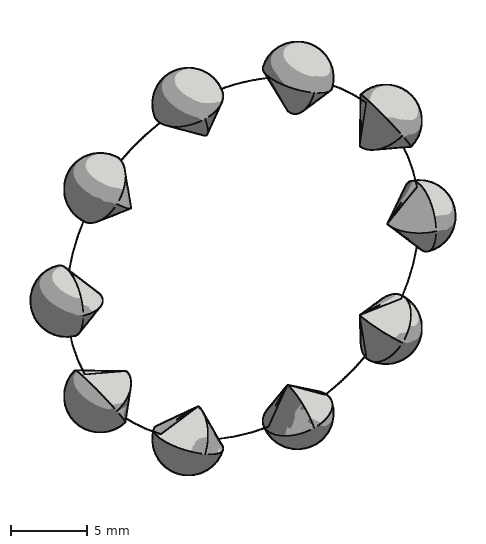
import cadquery as cq
import math

bead_count = 10
ring_radius = 13.0
bead_radius = 2.38
roof_slope = 45
wire_diameter = 0.02
cylinder_length = 4 * bead_radius


def inner_block(x_start):
    """Block on the inner (+Z) side of the bead, one bead radius wide from x_start."""
    return (
        cq.Workplane("XY")
        .box(bead_radius, 2 * bead_radius, bead_radius, centered=(False, True, False))
        .translate((x_start, 0, 0))
    )


def outer_hemisphere():
    """Hemisphere on the -Z side of the bead centre."""
    return (
        cq.Workplane("XZ")
        .moveTo(0, 0)
        .lineTo(bead_radius, 0)
        .radiusArc((0, -bead_radius), bead_radius)
        .close()
        .revolve(360, (0, 0, 0), (0, 1, 0))
    )


def pointed_half():
    """Half of a 90 degree cone along Z, on the -X side."""
    cone = (
        cq.Workplane("XZ")
        .polyline([(0, 0), (bead_radius, 0), (0, bead_radius)])
        .close()
        .revolve(360, (0, 0, 0), (0, 1, 0))
    )
    return cone.intersect(inner_block(-bead_radius))


def sloped_cylinder(tilt):
    """Elliptic cylinder through the bead centre, its YZ-plane axis tilted about X from +Z."""
    return (
        cq.Workplane("XY")
        .ellipse(bead_radius, bead_radius * math.cos(math.radians(tilt)))
        .extrude(cylinder_length)
        .translate((0, 0, -cylinder_length / 2))
        .rotate((0, 0, 0), (1, 0, 0), tilt)
    )


def crested_half():
    """Roof on the +X side: every section across X is a 90 degree triangle, under a round crest."""
    return (
        sloped_cylinder(roof_slope)
        .intersect(sloped_cylinder(-roof_slope))
        .intersect(inner_block(0))
    )


def make_bead():
    """Bead centred on the origin, its tip pointing along +Z."""
    return outer_hemisphere().union(pointed_half()).union(crested_half())


def make_wire():
    """Thin torus about the X axis."""
    centre = cq.Vector(0, 0, 0)
    x_axis = cq.Vector(1, 0, 0)
    return cq.Workplane(cq.Solid.makeTorus(ring_radius, wire_diameter / 2, centre, x_axis))


first_bead = (
    make_bead()
    .rotate((0, 0, 0), (1, 0, 0), 90)
    .translate((0, ring_radius, 0))
)

result = make_wire()
for index in range(bead_count):
    bead_angle = index * 360 / bead_count
    result = result.union(first_bead.rotate((0, 0, 0), (1, 0, 0), bead_angle))